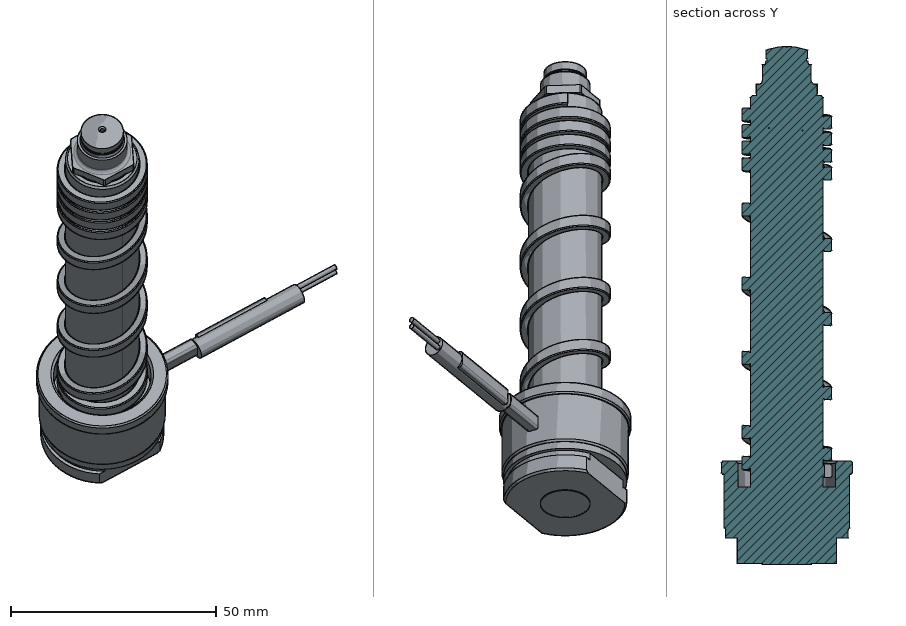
import cadquery as cq
import math

total_height = 126.2
tube_radius = 9.0
tube_top = 114.2

housing_radius = 15.4
housing_bottom = 8.5
flange_radius = 16.0
flange_bottom = 22.0
flange_top = 25.2
flange_chamfer = 0.4
collar_radius = 15.0
collar_bottom = 6.4
neck_radius = 14.1
neck_bottom = 4.5
plug_bottom = 0.3
pad_radius = 6.0
edge_chamfer = 0.5
flat_half_width = 12.1
bore_radius = 11.9
bore_depth = 6.3
bore_chamfer = 0.6

nut_half_flats = 7.5
nut_top = 117.0
nut_waist = 0.5
nut_corner_chamfer = 0.3
shank_radius = 6.0
shank_bottom = 117.9
shank_top = 121.8
tip_radius = 5.2
tip_foot_radius = 5.4
tip_groove_radius = 4.9
tip_groove_bottom = 122.7
tip_groove_top = 123.2
tip_shoulder = 125.3
dome_radius = 15.1
orifice_radius = 0.5
orifice_depth = 2.5
orifice_chamfer = 0.4

strip_outer_radius = 11.0
strip_height = 3.3
strip_chamfer = 0.3
strip_embedding = 0.1
strip_root_radius = tube_radius - strip_embedding
strip_root_chamfer = strip_chamfer + strip_embedding
strip_start_angle = 127.0
strip_start_height = 111.0
close_pitch = 4.0
open_pitch = 18.0
strip_stretches = [
    (3.74, close_pitch, close_pitch),
    (0.25, close_pitch, open_pitch),
    (3.5, open_pitch, open_pitch),
    (0.25, open_pitch, close_pitch),
    (1.1, close_pitch, close_pitch),
]
strip_steps_per_turn = 24

cable_height = 14.8
cable_end = 69.0
cord_start = 13.9
cord_width = 3.0
cord_height = 3.9
cord_center_x = -0.8
cord_fillet = 0.6
sheath_radius = 2.5
sheath_start = 27.4
sheath_end = 57.5
bar_start = 29.0
bar_end = 49.1
bar_depth = 2.7
bar_height = 4.4
bar_fillet = 0.8
wire_radius = 0.6
wire_center_x = -1.1
wire_half_spacing = 0.95


def disc(radius, bottom, top):
    return cq.Workplane("XY").workplane(offset=bottom).circle(radius).extrude(top - bottom)


def make_housing():
    body = disc(housing_radius, housing_bottom, flange_bottom).faces("<Z").chamfer(edge_chamfer)
    flange = disc(flange_radius, flange_bottom, flange_top).faces("|Z").chamfer(flange_chamfer)
    collar = disc(collar_radius, collar_bottom, housing_bottom)

    plug = disc(collar_radius, plug_bottom, neck_bottom).faces("<Z").chamfer(edge_chamfer)
    plug = plug.union(disc(neck_radius, neck_bottom, collar_bottom))
    flats = cq.Workplane("XY").rect(2 * flat_half_width, 2 * collar_radius).extrude(collar_bottom)
    plug = plug.intersect(flats)
    pad = disc(pad_radius, 0, plug_bottom)

    bore = disc(bore_radius, flange_top - bore_depth, flange_top)
    housing = body.union(flange).union(collar).union(plug).union(pad).cut(bore)
    bore_rim = cq.selectors.RadiusNthSelector(0)
    return housing.faces(">Z").edges(bore_rim).chamfer(bore_chamfer)


def make_tube():
    tube = disc(tube_radius, flange_top - bore_depth, tube_top)
    return tube.faces(">Z").chamfer(edge_chamfer)


def make_nut():
    corner_diameter = 4 * nut_half_flats / math.sqrt(3)
    nut_bottom = tube_top + nut_waist
    return (
        cq.Workplane("XY")
        .workplane(offset=nut_bottom)
        .polygon(6, corner_diameter)
        .extrude(nut_top - nut_bottom)
        .rotate((0, 0, 0), (0, 0, 1), 30)
        .edges("|Z")
        .chamfer(nut_corner_chamfer)
    )


def make_tip():
    blend_radius = shank_bottom - nut_top
    mouth_radius = orifice_radius + orifice_chamfer
    profile = (
        cq.Workplane("XZ")
        .moveTo(0, tube_top)
        .lineTo(nut_half_flats, tube_top)
        .lineTo(nut_half_flats, nut_top)
        .lineTo(shank_radius + blend_radius, nut_top)
        .radiusArc((shank_radius, shank_bottom), blend_radius)
        .lineTo(shank_radius, shank_top)
        .lineTo(tip_foot_radius, shank_top)
        .lineTo(tip_radius, tip_groove_bottom)
        .lineTo(tip_groove_radius, tip_groove_bottom)
        .lineTo(tip_groove_radius, tip_groove_top)
        .lineTo(tip_radius, tip_groove_top)
        .lineTo(tip_radius, tip_shoulder)
        .radiusArc((mouth_radius, total_height), -dome_radius)
        .lineTo(orifice_radius, total_height - orifice_chamfer)
        .lineTo(orifice_radius, total_height - orifice_depth)
        .lineTo(0, total_height - orifice_depth)
        .close()
    )
    return profile.revolve(360, (0, 0, 0), (0, 1, 0))


def strip_point(turn, drop, radius, offset):
    """Point on the strip after a number of turns, offset from its centre line along Z."""
    angle = math.radians(strip_start_angle - 360 * turn)
    height = strip_start_height - drop + offset
    return cq.Vector(radius * math.cos(angle), radius * math.sin(angle), height)


def strip_path():
    """Pairs of turns made and height lost along the strip; the pitch varies linearly in a stretch."""
    path = [(0.0, 0.0)]
    for turns, first_pitch, last_pitch in strip_stretches:
        turn_before, drop_before = path[-1]
        steps = math.ceil(turns * strip_steps_per_turn)
        for step in range(1, steps + 1):
            part = turns * step / steps
            mean_pitch = first_pitch + (last_pitch - first_pitch) * part / (2 * turns)
            path.append((turn_before + part, drop_before + mean_pitch * part))
    return path


def make_strip():
    half = strip_height / 2
    section = [
        (strip_root_radius, strip_root_chamfer - half),
        (strip_root_radius + strip_root_chamfer, -half),
        (strip_outer_radius - strip_chamfer, -half),
        (strip_outer_radius, strip_chamfer - half),
        (strip_outer_radius, half - strip_chamfer),
        (strip_outer_radius - strip_chamfer, half),
        (strip_root_radius + strip_root_chamfer, half),
        (strip_root_radius, half - strip_root_chamfer),
    ]
    path = strip_path()
    corner_lines = [
        [strip_point(turn, drop, radius, offset) for turn, drop in path] for radius, offset in section
    ]
    edges = [cq.Edge.makeSpline(points) for points in corner_lines]

    faces = [
        cq.Face.makeRuledSurface(edges[index - 1], edges[index]) for index in range(len(edges))
    ]
    for end in (0, -1):
        outline = cq.Wire.makePolygon([points[end] for points in corner_lines], close=True)
        faces.append(cq.Face.makeFromWires(outline))
    return cq.Workplane(cq.Solid.makeSolid(cq.Shell.makeShell(faces)))


def bar_along_y(center_x, width, height, start, end):
    return (
        cq.Workplane("XY")
        .box(width, end - start, height, centered=(True, False, True))
        .translate((center_x, start, cable_height))
    )


def rod_along_y(center_x, center_z, radius, start, end):
    rod = cq.Workplane("XZ").center(center_x, center_z).circle(radius).extrude(start - end)
    return rod.translate((0, start, 0))


def make_cable():
    cord = bar_along_y(cord_center_x, cord_width, cord_height, cord_start, sheath_start)
    cord = cord.edges("|Y").fillet(cord_fillet)
    sheath = rod_along_y(0, cable_height, sheath_radius, sheath_start, sheath_end)
    bar = bar_along_y(-bar_depth / 2, bar_depth, bar_height, bar_start, bar_end)
    bar = bar.edges("|Y and <X").fillet(bar_fillet)
    cable = cord.union(sheath).union(bar)
    for side in (-1, 1):
        wire_height = cable_height + side * wire_half_spacing
        cable = cable.union(
            rod_along_y(wire_center_x, wire_height, wire_radius, sheath_end, cable_end)
        )
    return cable


result = (
    make_housing()
    .union(make_tube())
    .union(make_nut())
    .union(make_tip())
    .union(make_cable())
    .union(make_strip())
)